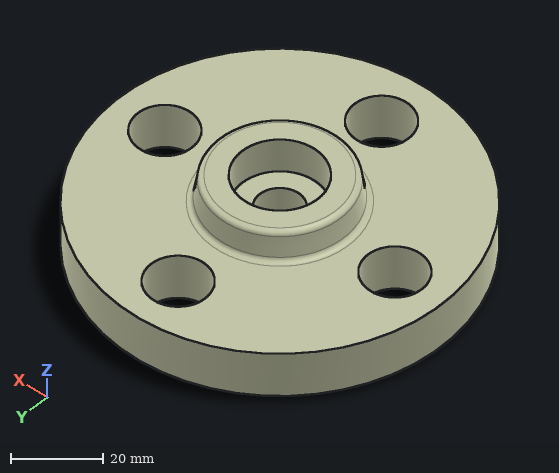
import cadquery as cq
import math

flange_diameter = 95.25
flange_thickness = 12.8

face_diameter = 35.1
face_height = 1.5

overall_height = 22.16
hub_base_diameter = 38.1
hub_taper_deg = 9.5
hub_fillet = 1.5

socket_diameter = 22.2
socket_depth = 9.6
bore_diameter = 11.8

bolt_hole_count = 4
bolt_hole_diameter = 15.9
bolt_circle_diameter = 66.6

flange_bottom = face_height
flange_top = flange_bottom + flange_thickness
hub_height = overall_height - flange_top
hub_top_diameter = hub_base_diameter - 2 * hub_height * math.tan(math.radians(hub_taper_deg))


def make_body():
    """Revolve the raised face, plate and sharp-edged hub as one solid."""
    half_profile = [
        (0, 0),
        (face_diameter / 2, 0),
        (face_diameter / 2, flange_bottom),
        (flange_diameter / 2, flange_bottom),
        (flange_diameter / 2, flange_top),
        (hub_base_diameter / 2, flange_top),
        (hub_top_diameter / 2, overall_height),
        (0, overall_height),
    ]
    return cq.Workplane("XZ").polyline(half_profile).close().revolve(360, (0, 0), (0, 1))


def circle_edge_at(radius, level):
    """Box selector that encloses only the circular edge of this radius and level."""
    margin = 0.1
    reach = radius + margin
    return cq.selectors.BoxSelector(
        (-reach, -reach, level - margin),
        (reach, reach, level + margin),
        boundingbox=True,
    )


def round_hub(body):
    """Round the rim of the hub and blend its foot into the plate."""
    rim = circle_edge_at(hub_top_diameter / 2, overall_height)
    foot = circle_edge_at(hub_base_diameter / 2, flange_top)
    return body.edges(rim).fillet(hub_fillet).edges(foot).fillet(hub_fillet)


def cut_stepped_bore(body):
    """Cut the through bore and the wider pipe socket at its top."""
    bore = cq.Workplane("XY").circle(bore_diameter / 2).extrude(overall_height)
    socket_floor = cq.Workplane("XY").workplane(offset=overall_height - socket_depth)
    socket = socket_floor.circle(socket_diameter / 2).extrude(socket_depth)
    return body.cut(bore).cut(socket)


def cut_bolt_holes(body):
    """Cut the evenly spaced bolt holes through the plate."""
    holes = (
        cq.Workplane("XY")
        .workplane(offset=flange_bottom)
        .polarArray(bolt_circle_diameter / 2, 0, 360, bolt_hole_count)
        .circle(bolt_hole_diameter / 2)
        .extrude(flange_thickness)
    )
    return body.cut(holes)


result = cut_bolt_holes(cut_stepped_bore(round_hub(make_body())))